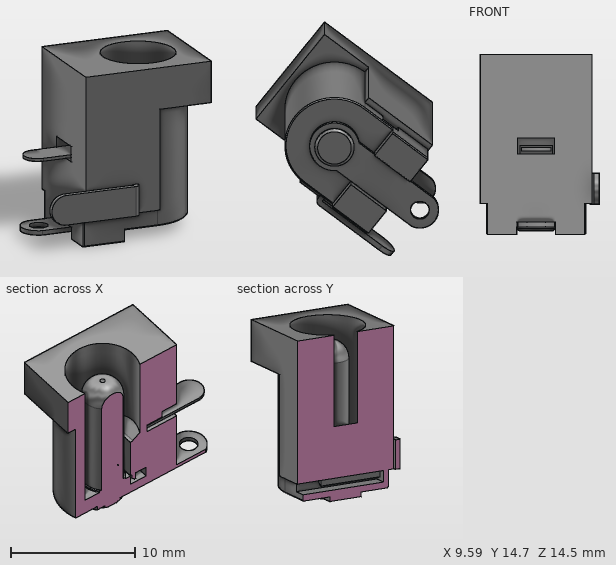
import cadquery as cq
import math


body_width = 9.0
body_length = 11.0
rear_y = body_width / 2
front_y = rear_y - body_length
body_bottom = -12.0
flange_thickness = 3.5
barrel_radius = 4.0
socket_diameter = 6.1

notch_width = 3.0
notch_top = -6.7
notch_floor = -8.0
notch_depth = 1.47
slit_width = 2.6
slit_top = -7.32
slit_back_y = -3.53

cover_bottom = -13.5
foot_bottom = -14.5
foot_length = 3.62
foot_slot_width = 3.09
edge_chamfer = 0.1
channel_rear_y = -1.84
channel_front_y = -3.4
channel_floor = -12.92
channel_end_wall = 0.5

pin_diameter = 3.41
pin_top = -1.23
pin_dimple_diameter = 0.41
pin_dimple_depth = 0.15
collar_diameter = 3.7
collar_height = 0.15

upper_tab_width = 2.38
upper_tab_top = -7.5
upper_tab_thickness = 0.25
upper_tab_tip_y = -9.98
ramp_flare_y = -2.05
ramp_foot_y = -1.81
ramp_angle = 33.0

lower_tab_width = 2.94
lower_tab_thickness = 0.38
lower_tab_end_radius = 1.5
lower_tab_tip_y = -10.2
lower_tab_hole = 1.5
washer_diameter = 4.0
rivet_neck_diameter = 3.0
rivet_rim_diameter = 3.18
rivet_end_diameter = 2.7
rivet_neck_height = 0.13
rivet_end_height = 0.18

side_tab_top = -9.55
side_tab_width = 2.5
side_tab_thickness = 0.44
side_bend_radius = 0.43
side_tab_outer_x = 5.09
side_tab_tip_y = -9.72
side_leg_embed = 0.15
side_leg_rear_y = -1.94
tongue_bottom = -12.63
tongue_end_x = -2.0
tongue_chamfer = 0.3


def block(x_min, x_max, y_min, y_max, z_min, z_max):
    """Axis-aligned box between the given limits."""
    size = (x_max - x_min, y_max - y_min, z_max - z_min)
    return cq.Workplane("XY").box(*size, centered=False).translate((x_min, y_min, z_min))


def centred_block(width, y_min, y_max, z_min, z_max):
    """Box that is symmetric about x = 0."""
    return block(-width / 2, width / 2, y_min, y_max, z_min, z_max)


def disc(diameter, z_min, z_max):
    """Cylinder on the socket axis."""
    return cq.Workplane("XY").workplane(offset=z_min).circle(diameter / 2).extrude(z_max - z_min)


def round_ended_tab(plane, width, end_radius, start, tip, thickness):
    """Flat tab along the local x axis of the plane, centred on it, with an arc at the tip."""
    half = width / 2
    arc_start = tip + end_radius - math.sqrt(end_radius**2 - half**2)
    return (
        cq.Workplane(plane)
        .moveTo(start, -half)
        .lineTo(arc_start, -half)
        .threePointArc((tip, 0), (arc_start, half))
        .lineTo(start, half)
        .close()
        .extrude(thickness)
    )


def horizontal_tab_plane(z):
    """Plane whose x axis runs along world Y and whose normal points to -Z."""
    return cq.Plane(origin=(0, 0, z), xDir=(0, 1, 0), normal=(0, 0, -1))


def housing():
    flange = centred_block(body_width, front_y, rear_y, -flange_thickness, 0)
    walls = centred_block(body_width, front_y, 0, body_bottom, 0)
    barrel = disc(2 * barrel_radius, body_bottom, 0)
    shell = flange.union(walls).union(barrel)
    shell = shell.cut(disc(socket_diameter, body_bottom, 0))
    notch_back = front_y + notch_depth
    shell = shell.cut(centred_block(notch_width, front_y, notch_back, notch_floor, notch_top))
    return shell.cut(centred_block(slit_width, front_y, slit_back_y, notch_floor, slit_top))


def cover():
    base = disc(2 * barrel_radius, cover_bottom, body_bottom)
    base = base.union(centred_block(2 * barrel_radius, front_y, 0, cover_bottom, body_bottom))
    base = base.edges("|Z and <Y").chamfer(edge_chamfer)
    foot = centred_block(2 * barrel_radius, front_y, front_y + foot_length, foot_bottom, body_bottom)
    foot = foot.edges("|Z and <Y").chamfer(edge_chamfer)
    base = base.faces("<Z").edges("not(<Y)").chamfer(edge_chamfer)
    foot = foot.faces("<Z").edges("|Y").chamfer(edge_chamfer)
    slot = centred_block(foot_slot_width, front_y, front_y + foot_length, foot_bottom, cover_bottom)
    channel = block(
        -barrel_radius,
        barrel_radius - channel_end_wall,
        channel_front_y,
        channel_rear_y,
        channel_floor,
        body_bottom,
    )
    return base.union(foot.cut(slot)).cut(channel)


def centre_pin():
    dimple_radius = pin_dimple_diameter / 2
    dome_radius = pin_diameter / 2 - dimple_radius
    pin = disc(pin_diameter, body_bottom, pin_top).faces(">Z").edges().fillet(dome_radius)
    dimple_tip = cq.Vector(0, 0, pin_top - pin_dimple_depth)
    pin = pin.cut(cq.Workplane(cq.Solid.makeCone(0, dimple_radius, pin_dimple_depth, pnt=dimple_tip)))
    return pin.union(disc(collar_diameter, body_bottom, body_bottom + collar_height))


def contact_spring():
    """Upper tab, and the sloping contact that fills the front of the socket down to the floor."""
    socket_edge_y = -socket_diameter / 2
    tab = round_ended_tab(
        horizontal_tab_plane(upper_tab_top),
        upper_tab_width,
        upper_tab_width / 2,
        socket_edge_y,
        upper_tab_tip_y,
        upper_tab_thickness,
    )
    angle = math.radians(ramp_angle)
    slope_end_z = upper_tab_top - (ramp_flare_y - socket_edge_y) * math.tan(angle)
    flare_radius = (ramp_foot_y - ramp_flare_y) / math.sin(angle)
    flare_centre_z = slope_end_z + flare_radius * math.cos(angle)
    flare_middle = (
        ramp_foot_y - flare_radius * math.sin(angle / 2),
        flare_centre_z - flare_radius * math.cos(angle / 2),
    )
    flare_end = (ramp_foot_y, flare_centre_z - flare_radius)
    ramp = (
        cq.Workplane("YZ")
        .moveTo(socket_edge_y, upper_tab_top)
        .lineTo(ramp_flare_y, slope_end_z)
        .threePointArc(flare_middle, flare_end)
        .lineTo(ramp_foot_y, body_bottom)
        .lineTo(socket_edge_y, body_bottom)
        .close()
        .extrude(socket_diameter / 2, both=True)
    )
    return tab.union(ramp.intersect(disc(socket_diameter, body_bottom, 0)))


def lower_tab():
    tab_bottom = cover_bottom - lower_tab_thickness
    tab = round_ended_tab(
        horizontal_tab_plane(cover_bottom),
        lower_tab_width,
        lower_tab_end_radius,
        0,
        lower_tab_tip_y,
        lower_tab_thickness,
    )
    tab = tab.union(disc(washer_diameter, tab_bottom, cover_bottom))
    hole = disc(lower_tab_hole, tab_bottom, cover_bottom)
    tab = tab.cut(hole.translate((0, lower_tab_tip_y + lower_tab_end_radius, 0)))
    rim_z = tab_bottom - rivet_neck_height
    end_z = rim_z - rivet_end_height
    rivet = (
        cq.Workplane("XZ")
        .polyline(
            [
                (0, tab_bottom),
                (rivet_neck_diameter / 2, tab_bottom),
                (rivet_rim_diameter / 2, rim_z),
                (rivet_end_diameter / 2, end_z),
                (0, end_z),
            ]
        )
        .close()
        .revolve(360, (0, 0, 0), (0, 1, 0))
    )
    return tab.union(rivet)


def side_tab():
    inner_x = side_tab_outer_x - side_tab_thickness
    leg_front_y = side_leg_rear_y - side_tab_thickness
    side_tab_bottom = side_tab_top - side_tab_width
    blade_plane = cq.Plane(
        origin=(inner_x, 0, side_tab_top - side_tab_width / 2), xDir=(0, 1, 0), normal=(1, 0, 0)
    )
    tab = round_ended_tab(
        blade_plane, side_tab_width, side_tab_width / 2, leg_front_y, side_tab_tip_y, side_tab_thickness
    )
    leg_start_x = body_width / 2 - side_leg_embed
    leg = block(
        leg_start_x, side_tab_outer_x, leg_front_y, side_leg_rear_y, side_tab_bottom, side_tab_top
    )
    leg = leg.edges("|Z and >X and >Y").fillet(side_bend_radius)
    tongue = block(
        tongue_end_x, barrel_radius, leg_front_y, side_leg_rear_y, tongue_bottom, body_bottom
    )
    tongue = tongue.edges("|X and >Y and <Z").chamfer(tongue_chamfer)
    return tab.union(leg).union(tongue)


result = housing()
for component in (cover(), centre_pin(), contact_spring(), lower_tab(), side_tab()):
    result = result.union(component)